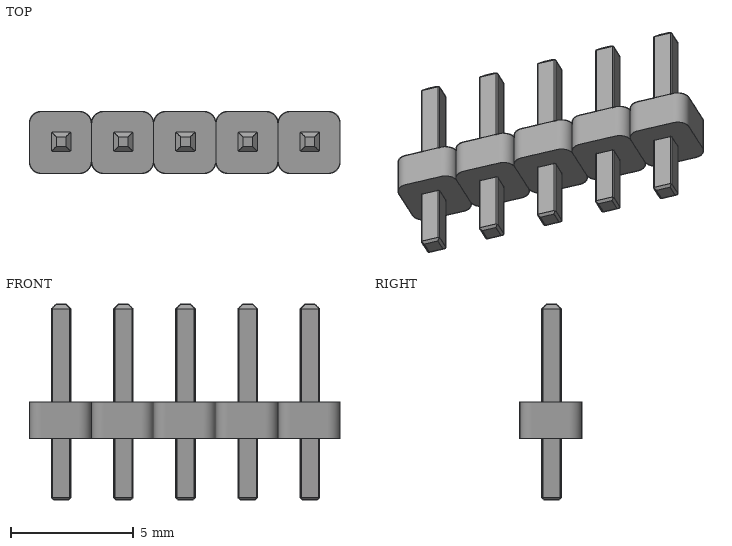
import cadquery as cq

pin_count = 5
row_length = 12.7
pitch = row_length / pin_count

block_depth = 2.54
block_height = 1.5
block_corner_radius = 0.5

pin_width = 0.8
pin_length = 8.0
pin_tail = 2.5
pin_edge_break = 0.05
pin_top_chamfer = 0.2
pin_bottom_chamfer = 0.1
pin_offset = 0.032


def make_square_bar():
    """Sharp-edged square bar over the full pin length."""
    return (
        cq.Workplane("XY", origin=(0, 0, -pin_tail))
        .rect(pin_width, pin_width)
        .extrude(pin_length)
    )


def make_pin(block_x):
    """Square pin with chamfered ends and broken long edges."""
    chamfered_ends = (
        make_square_bar()
        .faces(">Z")
        .chamfer(pin_top_chamfer)
        .faces("<Z")
        .chamfer(pin_bottom_chamfer)
    )
    broken_edges = make_square_bar().edges("|Z").chamfer(pin_edge_break)
    pin = chamfered_ends.intersect(broken_edges)
    return pin.translate((block_x + pin_offset, pin_offset, 0))


def make_block(block_x, pin):
    """Rounded insulator block with a through hole that fits its pin."""
    block = (
        cq.Workplane("XY", origin=(block_x, 0, 0))
        .rect(pitch, block_depth)
        .extrude(block_height)
        .edges("|Z")
        .fillet(block_corner_radius)
    )
    return block.cut(pin)


pins = []
blocks = []
for index in range(pin_count):
    block_x = (index - (pin_count - 1) / 2) * pitch
    pin = make_pin(block_x)
    pins.append(pin.solids().val())
    blocks.append(make_block(block_x, pin).solids().val())

result = cq.Compound.makeCompound([*blocks, *pins])